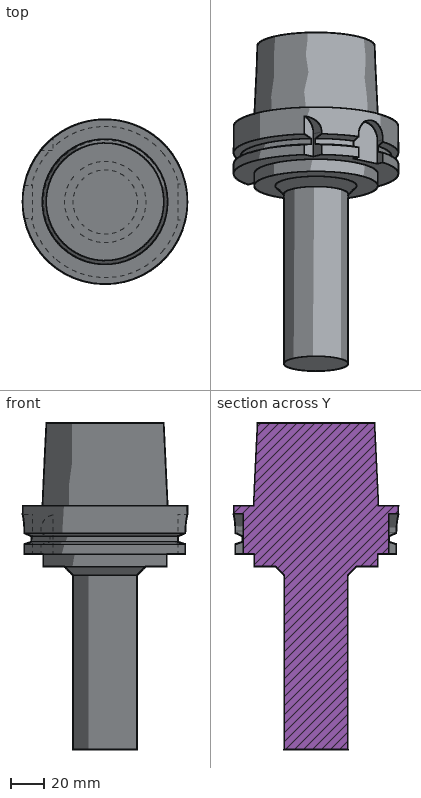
import cadquery as cq

total_height = 198.0
taper_height = 50.0
flange_height = 29.5
collar_height = 7.5
neck_height = 5.1
flange_top = total_height - taper_height
flange_bottom = flange_top - flange_height
collar_bottom = flange_bottom - collar_height
neck_bottom = collar_bottom - neck_height

taper_top_radius = 71.3 / 2
taper_base_radius = 76.0 / 2
flange_radius = 100.0 / 2
collar_radius = 75.0 / 2
shank_radius = 39.0 / 2
neck_radius = shank_radius + neck_height

groove_depth = 4.2
groove_top = flange_top - 16.6
groove_bottom = flange_top - 23.4
groove_upper_slope = 2.0
groove_lower_slope = 1.4
groove_radius = flange_radius - groove_depth

slot_apex = flange_top - 5.1
narrow_slot_width = 20.0
wide_slot_width = 22.0
key_slot_floor = 44.2
notch_floor = 31.7
notch_inner_edge = 31.3


def turned_body():
    """Taper, grooved flange, collar, neck cone and shank as one revolved profile."""
    profile = [
        (0, 0),
        (shank_radius, 0),
        (shank_radius, neck_bottom),
        (neck_radius, collar_bottom),
        (collar_radius, collar_bottom),
        (collar_radius, flange_bottom),
        (flange_radius, flange_bottom),
        (flange_radius, groove_bottom),
        (groove_radius, groove_bottom + groove_lower_slope),
        (groove_radius, groove_top - groove_upper_slope),
        (flange_radius, groove_top),
        (flange_radius, flange_top),
        (taper_base_radius, flange_top),
        (taper_top_radius, total_height),
        (0, total_height),
    ]
    return cq.Workplane("XZ").polyline(profile).close().revolve(360, (0, 0, 0), (0, 1, 0))


def slot_cutter(side, floor, width, center_y=0.0):
    """Round-topped cutter running outward along X from a flat floor; side is -1 or +1."""
    radius = width / 2
    arc_center = slot_apex - radius
    return (
        cq.Workplane("YZ", origin=(side * floor, center_y, 0))
        .moveTo(-radius, flange_bottom)
        .lineTo(-radius, arc_center)
        .threePointArc((0, slot_apex), (radius, arc_center))
        .lineTo(radius, flange_bottom)
        .close()
        .extrude(side * flange_radius)
    )


narrow_key_slot = slot_cutter(-1, key_slot_floor, narrow_slot_width)
wide_key_slot = slot_cutter(1, key_slot_floor, wide_slot_width)
notch_center = notch_inner_edge + narrow_slot_width / 2
side_notch = slot_cutter(-1, notch_floor, narrow_slot_width, notch_center)

result = turned_body().cut(narrow_key_slot).cut(wide_key_slot).cut(side_notch)